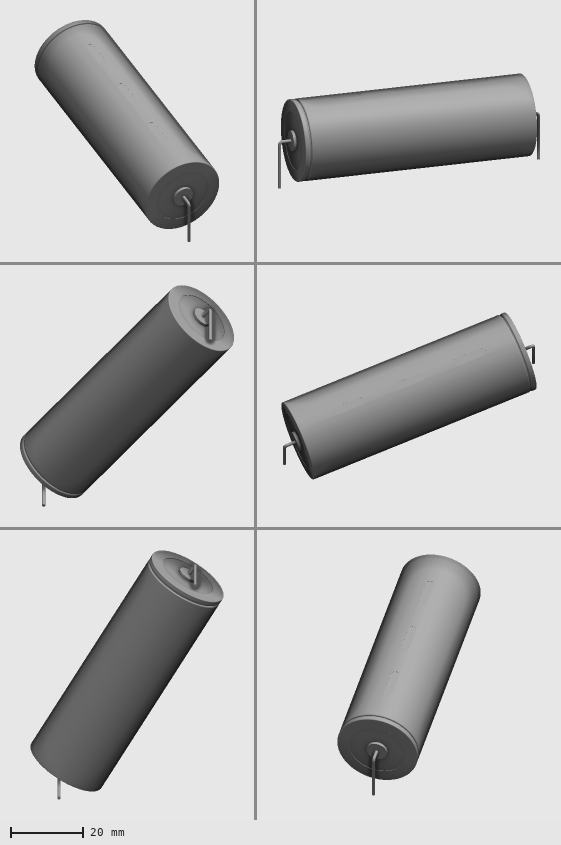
import cadquery as cq

overall_length = 75.9
overall_height = 25.05
can_diameter = 23.0
can_length = 67.1
can_edge_radius = 0.2

groove_start = 1.15
groove_floor_width = 0.3
groove_lip_radius = 0.4

opening_diameter = 16.1
sleeve_thickness = 0.15
disc_diameter = 5.8
disc_height = 0.7

wire_diameter = 0.9
bend_radius = 0.9

mark_count = 3
mark_pitch = 18.4
mark_length = 9.25
mark_width = 2.3
mark_depth = 0.1

can_radius = can_diameter / 2
can_end = can_length / 2
lead_x = (overall_length - wire_diameter) / 2
lead_bottom = can_radius - overall_height


def x_cylinder(diameter, start, length):
    """Solid cylinder on the X axis, growing toward +X from start."""
    return cq.Workplane("YZ").workplane(offset=start).circle(diameter / 2).extrude(length)


def make_groove():
    """Ring-shaped cutter whose two walls are convex quarter-round lips."""
    start = -can_end + groove_start
    floor_start = start + groove_lip_radius
    floor_end = floor_start + groove_floor_width
    floor_radius = can_radius - groove_lip_radius
    profile = (
        cq.Workplane("XY")
        .moveTo(start, can_radius)
        .radiusArc((floor_start, floor_radius), groove_lip_radius)
        .lineTo(floor_end, floor_radius)
        .radiusArc((floor_end + groove_lip_radius, can_radius), groove_lip_radius)
        .close()
    )
    return profile.revolve(360, (0, 0, 0), (1, 0, 0))


def make_can():
    can = x_cylinder(can_diameter, -can_end, can_length).edges().fillet(can_edge_radius)
    return can.cut(make_groove())


def make_marks():
    floor_z = can_radius - mark_depth
    centers = [((i - (mark_count - 1) / 2) * mark_pitch, 0) for i in range(mark_count)]
    marks = cq.Workplane("XY").workplane(offset=floor_z).pushPoints(centers)
    return marks.slot2D(mark_length, mark_width).extrude(2 * mark_depth)


def make_terminal():
    """Disc and bent lead of the +X end, both rooted in the sleeve opening."""
    root_x = can_end - sleeve_thickness
    disc = x_cylinder(disc_diameter, root_x, disc_height + sleeve_thickness)
    path = (
        cq.Workplane("XZ")
        .moveTo(root_x, 0)
        .lineTo(lead_x - bend_radius, 0)
        .radiusArc((lead_x, -bend_radius), bend_radius)
        .lineTo(lead_x, lead_bottom)
    )
    lead = cq.Workplane("YZ").workplane(offset=root_x).circle(wire_diameter / 2).sweep(path)
    return disc.union(lead)


opening = x_cylinder(opening_diameter, can_end - sleeve_thickness, sleeve_thickness)
terminal = make_terminal()

result = make_can().cut(make_marks())
result = result.cut(opening).cut(opening.mirror("YZ"))
result = result.union(terminal).union(terminal.mirror("YZ"))